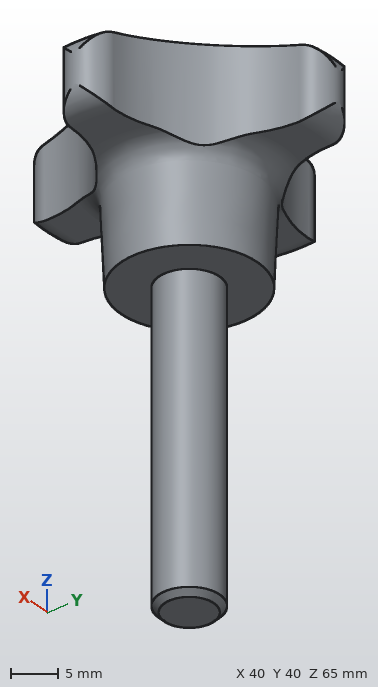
import cadquery as cq
import math

total_height = 65.0
span = 40.0
tip_radius = 3.0
dome_radius = 60.0
head_depth = 12.0
hub_depth = 25.0
hub_bottom_radius = 9.05
hub_taper = 2.5
flare_radius = 3.0
rim_clearance = 0.005
shaft_radius = 4.0
shaft_chamfer = 0.8

reach = span / 2
tip_center = reach - tip_radius
rim_radius = reach + rim_clearance
rim_center = rim_radius - tip_radius
diagonal = math.sqrt(0.5)


def star_prism():
    """Four arms with round tips, joined by quarter-circle scoops."""
    scoop_radius = tip_center - tip_radius
    scoop_middle = tip_center - scoop_radius * diagonal
    outline = cq.Workplane("XY").workplane(offset=-hub_depth).moveTo(tip_center, -tip_radius)

    def turned(x, y, quarter):
        for _ in range(quarter):
            x, y = -y, x
        return x, y

    for quarter in range(4):
        outline = outline.threePointArc(
            turned(reach, 0, quarter), turned(tip_center, tip_radius, quarter)
        ).threePointArc(
            turned(scoop_middle, scoop_middle, quarter), turned(tip_radius, tip_center, quarter)
        )
    return outline.close().extrude(hub_depth)


def turned_body():
    """Round body with domed top, rounded rim, flat underside and a flared, tapered hub."""
    upper_center_z = math.sqrt((dome_radius - tip_radius) ** 2 - rim_center**2) - dome_radius
    lower_center_z = -head_depth + tip_radius
    dome_angle = math.asin(rim_center / (dome_radius - tip_radius))

    def on_dome(angle):
        return (dome_radius * math.sin(angle), dome_radius * (math.cos(angle) - 1))

    def on_upper_rounding(angle):
        return (
            rim_center + tip_radius * math.sin(angle),
            upper_center_z + tip_radius * math.cos(angle),
        )

    lower_middle = (
        rim_center + tip_radius * diagonal,
        lower_center_z - tip_radius * diagonal,
    )

    slope = math.radians(hub_taper)
    flare_center_z = -head_depth - flare_radius
    wall_top_z = flare_center_z + flare_radius * math.sin(slope)
    wall_top_radius = hub_bottom_radius + (wall_top_z + hub_depth) * math.tan(slope)
    flare_center_x = wall_top_radius + flare_radius * math.cos(slope)
    flare_middle_angle = (math.pi / 2 + math.pi - slope) / 2
    flare_middle = (
        flare_center_x + flare_radius * math.cos(flare_middle_angle),
        flare_center_z + flare_radius * math.sin(flare_middle_angle),
    )

    return (
        cq.Workplane("XZ")
        .moveTo(0, 0)
        .threePointArc(on_dome(dome_angle / 2), on_dome(dome_angle))
        .threePointArc(
            on_upper_rounding((dome_angle + math.pi / 2) / 2),
            (rim_radius, upper_center_z),
        )
        .lineTo(rim_radius, lower_center_z)
        .threePointArc(lower_middle, (rim_center, -head_depth))
        .lineTo(flare_center_x, -head_depth)
        .threePointArc(flare_middle, (wall_top_radius, wall_top_z))
        .lineTo(hub_bottom_radius, -hub_depth)
        .lineTo(0, -hub_depth)
        .close()
        .revolve(360, (0, 0), (0, 1))
    )


def shaft():
    return (
        cq.Workplane("XY")
        .workplane(offset=-total_height)
        .circle(shaft_radius)
        .extrude(total_height - hub_depth)
        .faces("<Z")
        .chamfer(shaft_chamfer)
    )


result = turned_body().intersect(star_prism()).union(shaft())